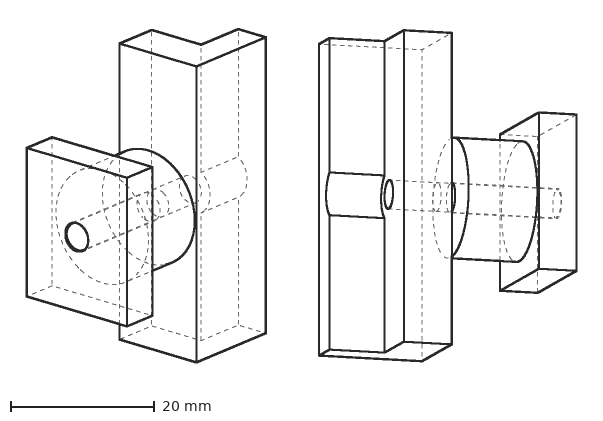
import cadquery as cq


plate_width = 18.2
plate_height = 22.1
plate_thickness = 5.5
boss_diameter = 16.8
boss_length = 10.0

pin_diameter = 4.0
pin_end_fillet = 0.3
knob_hole_diameter = 4.2

bracket_width = 14.0
bracket_height = 44.0
base_thickness = 7.0
leg_thickness = 5.0
leg_depth = 8.0
relief_diameter = 7.2

bracket_gap = 2.02
knob_back = plate_thickness + boss_length
base_front = knob_back + bracket_gap
base_back = base_front + base_thickness
leg_back = base_back + leg_depth


def cylinder_along_y(diameter, start, end):
    """Cylinder on the Y axis between two Y positions."""
    return cq.Workplane("XZ", origin=(0, start, 0)).circle(diameter / 2).extrude(start - end)


def make_knob():
    plate = cq.Workplane("XY").box(
        plate_width, plate_thickness, plate_height, centered=(True, False, True)
    )
    boss = cylinder_along_y(boss_diameter, plate_thickness, knob_back)
    hole = cylinder_along_y(knob_hole_diameter, 0, knob_back)
    return plate.union(boss).cut(hole)


def make_pin():
    """Pin from the plate face to the back of the bracket base, rounded at the plate end."""
    return cylinder_along_y(pin_diameter, 0, base_back).faces("<Y").edges().fillet(pin_end_fillet)


def make_bracket():
    half_width = bracket_width / 2
    leg_inner_face = half_width - leg_thickness
    profile = [
        (-half_width, base_front),
        (half_width, base_front),
        (half_width, leg_back),
        (leg_inner_face, leg_back),
        (leg_inner_face, base_back),
        (-half_width, base_back),
    ]
    body = cq.Workplane("XY").polyline(profile).close().extrude(bracket_height / 2, both=True)
    pin_hole = cylinder_along_y(pin_diameter, base_front, base_back)
    relief = cylinder_along_y(relief_diameter, base_back, leg_back)
    return body.cut(pin_hole).cut(relief)


knob = make_knob()
pin = make_pin()
bracket = make_bracket()

result = cq.Compound.makeCompound([knob.val(), pin.val(), bracket.val()])